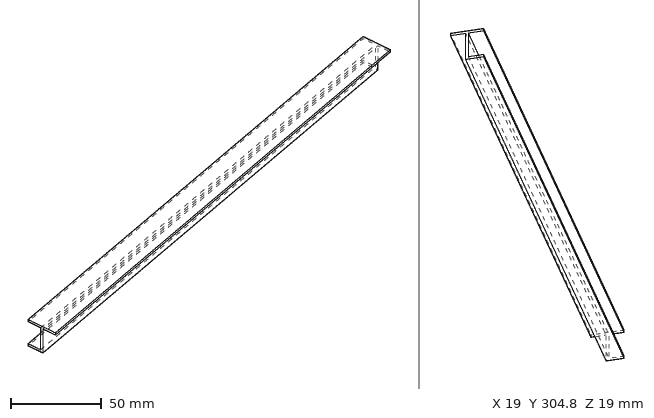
import cadquery as cq

length = 304.8
width = 19.0
height = 19.0
wall = 1.6

lower_flange_width = (width + wall) / 2


def strip(x_start, z_start, x_size, z_size):
    """Flat strip running the full length, centred on Y."""
    return (
        cq.Workplane("XY")
        .box(x_size, length, z_size, centered=(False, True, False))
        .translate((x_start, 0, z_start))
    )


left = -width / 2
bottom = -height / 2

upper_flange = strip(left, bottom + height - wall, width, wall)
web = strip(left + lower_flange_width - wall, bottom, wall, height)
lower_flange = strip(left, bottom, lower_flange_width, wall)

result = upper_flange.union(web).union(lower_flange)